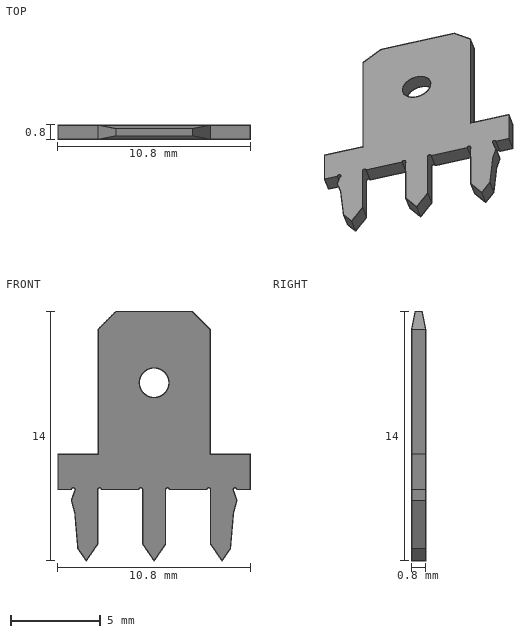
import cadquery as cq

thickness = 0.8
total_height = 14.0

blade_width = 6.3
blade_bevel_height = 1.0
blade_bevel_inset = 1.0
blade_end_thickness = 0.4
hole_diameter = 1.65
hole_below_top = 4.0

shoulder_width = 10.8
shoulder_height = 2.0

pin_length = 4.0
pin_spacing = 3.81
pin_half_width = 0.65
tip_height = 0.95
relief_radius = 0.1

barb_root_offset = 0.63
barb_crest_offset = 0.84
barb_crest_z = 3.4
barb_waist_offset = 0.65
barb_waist_z = 2.7
barb_tip_z = 0.7
barb_tip_offset = barb_tip_z * pin_half_width / tip_height

half_blade = blade_width / 2
half_shoulder = shoulder_width / 2
shoulder_bottom_z = pin_length
shoulder_top_z = shoulder_bottom_z + shoulder_height
bevel_z = total_height - blade_bevel_height
hole_z = total_height - hole_below_top
outer_pin_inner_x = pin_spacing - pin_half_width
barb_root_x = pin_spacing + barb_root_offset


def relief(outline, start_x, end_x):
    """Add a shallow arc from start_x to end_x, rising above the shoulder's lower edge."""
    mid_point = ((start_x + end_x) / 2, shoulder_bottom_z + relief_radius)
    return outline.threePointArc(mid_point, (end_x, shoulder_bottom_z))


def half_plate():
    """The flat plate on the +X side, with its half of the centre pin and one outer pin."""
    relief_width = 2 * relief_radius
    outline = (
        cq.Workplane("XZ", origin=(0, thickness / 2, 0))
        .moveTo(0, 0)
        .lineTo(pin_half_width, tip_height)
        .lineTo(pin_half_width, shoulder_bottom_z)
    )
    outline = relief(outline, pin_half_width, pin_half_width + relief_width)
    outline = outline.lineTo(outer_pin_inner_x - relief_width, shoulder_bottom_z)
    outline = relief(outline, outer_pin_inner_x - relief_width, outer_pin_inner_x)
    outline = (
        outline.lineTo(outer_pin_inner_x, tip_height)
        .lineTo(pin_spacing, 0)
        .lineTo(pin_spacing + barb_tip_offset, barb_tip_z)
        .lineTo(pin_spacing + barb_waist_offset, barb_waist_z)
        .lineTo(pin_spacing + barb_crest_offset, barb_crest_z)
        .lineTo(barb_root_x, shoulder_bottom_z)
    )
    outline = relief(outline, barb_root_x, barb_root_x + relief_width)
    return (
        outline.lineTo(half_shoulder, shoulder_bottom_z)
        .lineTo(half_shoulder, shoulder_top_z)
        .lineTo(half_blade, shoulder_top_z)
        .lineTo(half_blade, bevel_z)
        .lineTo(0, bevel_z)
        .close()
        .extrude(thickness)
    )


def blade_end():
    """The bevelled lead-in that narrows the blade in both width and thickness."""
    return (
        cq.Workplane("XY", origin=(0, 0, bevel_z))
        .rect(blade_width, thickness)
        .workplane(offset=blade_bevel_height)
        .rect(blade_width - 2 * blade_bevel_inset, blade_end_thickness)
        .loft(ruled=True)
    )


def blade_hole():
    """The round detent hole through the blade."""
    return (
        cq.Workplane("XZ", origin=(0, thickness / 2, hole_z))
        .circle(hole_diameter / 2)
        .extrude(thickness)
    )


right_half = half_plate()
plate = right_half.union(right_half.mirror("YZ"))
result = plate.union(blade_end()).cut(blade_hole()).clean()